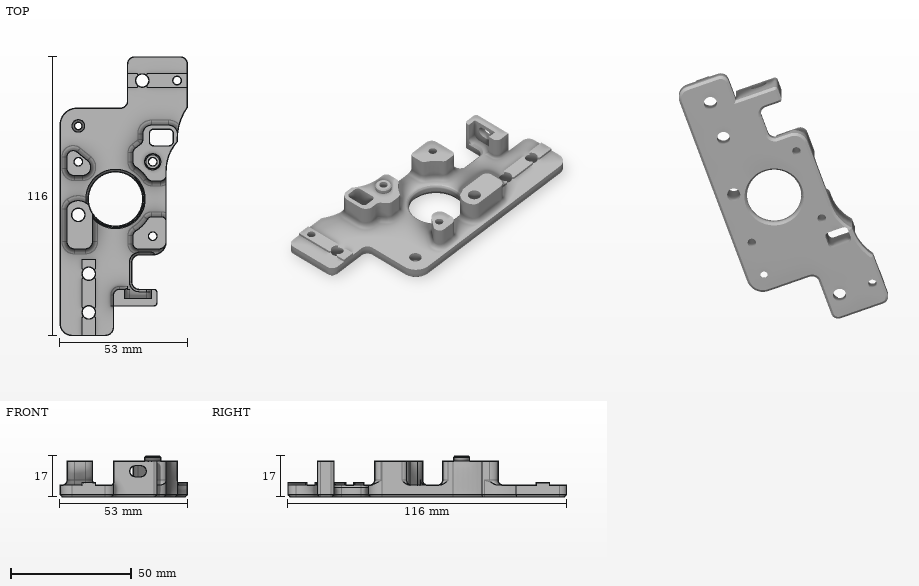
import cadquery as cq
PLATE_THICKNESS = 5.0
BOSS_TOP = 15.0
PIN_TOP = 17.0
PAD_HEIGHT = 1.0
BOTTOM_CHAMFER = 1.0
TOP_CHAMFER = 1.0

LENGTH = 116
WIDTH = 53.0
TAIL_WIDTH = 22.3
SHOULDER_Y = 94.7
EAR_X = 28.1
EAR_SIDE_BOTTOM_Y = 95.0
LOBE_X = 48.8
LOBE_TOP_Y = 81.9
LOBE_BOTTOM_Y = 80.7
BODY_X = 44.2
BODY_SIDE_TOP_Y = 68.7
BODY_BOTTOM_Y = 33.5
NECK_X = 29.9
NECK_CHAMFER_END_X = 38.5
ARM_X = 40.4
ARM_BOTTOM_Y = 12.3
ARM_TOP_Y = 19.3

SHOULDER_RADIUS = 7.0
TAIL_LEFT_RADIUS = 5.0
TAIL_RIGHT_RADIUS = 3.5
BODY_CORNER_RADIUS = 5.7
INNER_RADIUS = 3.0
EAR_RADIUS = 3.0
LOBE_RADIUS = 3.6
ARM_TIP_RADIUS = 1.3

BORE_X = 23.1
BORE_Y = 56.8
BORE_DIAMETER = 22.6
BORE_FLARE_HEIGHT = 1.9
BORE_LIP_WIDTH = 0.6
BORE_LIP_DEPTH = 1.4
BORE_RIM_WIDTH = 0.5
BORE_RIM_DEPTH = 0.2
SCREW_PITCH = 31.0
SCREW_DIAMETER = 3.5
LEFT_HOLE_X = BORE_X - SCREW_PITCH / 2
RIGHT_HOLE_X = BORE_X + SCREW_PITCH / 2
UPPER_HOLE_Y = BORE_Y + SCREW_PITCH / 2
LOWER_HOLE_Y = BORE_Y - SCREW_PITCH / 2

BOSS_LEFT_X = 2.9
RIGHT_BOSS_LEFT_X = 30.4
BOSS_BOTTOM_Y = 36.1
BOSS_RADIUS = 3.0
PIN_BOSS_BOTTOM_Y = 64.4
PIN_BOSS_TOP_Y = 87.6
PIN_BOSS_STEP_X = 34.5
PIN_BOSS_RADIUS = 2.3
CORNER_BOSS_TOP_Y = 49.4
CORNER_BOSS_RADIUS = 2.0
SMALL_BOSS_BOTTOM_Y = 66.6
CLEARANCE_DIAMETER = 31.5
LONG_BOSS_HOLE_Y = 50.2
LONG_BOSS_HEAD_RADIUS = 5.9
FOOT_RADIUS = 2.1
PIN_DIAMETER = 6.7
PIN_CHAMFER = 0.5

BRACKET_CORNER_RADIUS = 2.4
BRACKET_FOOT_RADIUS = 1.2
POCKET_LEFT_X = 26.9
POCKET_RIGHT_X = 38.0
POCKET_BACK_Y = 15.4
SLOT_X = (POCKET_LEFT_X + POCKET_RIGHT_X) / 2
SLOT_Z = 10.8
SLOT_LENGTH = 6.8
SLOT_HEIGHT = 4.6

LARGE_HOLE_DIAMETER = 5.5
PAD_WIDTH = 5.7
NOTCH_HALF_WIDTH = 2.2
NOTCH_DEPTH = 2.2
EAR_PAD_Y = 106.1
EAR_LARGE_HOLE_X = 34.2
EAR_SMALL_HOLE_X = 48.7
TAIL_PAD_X = 12.0
TAIL_PAD_TOP_Y = 31.7
TAIL_HOLES_Y = (25.8, 9.6)
COUNTERBORE_Y = 87.2
COUNTERBORE_DIAMETER = 5.2
COUNTERBORE_HOLE_DIAMETER = 3.0
COUNTERBORE_FLOOR = 1.0

WINDOW_LEFT_X = 37.2
WINDOW_RIGHT_X = 47.1
WINDOW_BOTTOM_Y = 79.0
WINDOW_TOP_Y = 85.8
WINDOW_RADIUS = 1.7

OVERLAP = 1.2


def box(x0, x1, y0, y1, z0, z1):
    """Box between two opposite corners."""
    return cq.Workplane("XY").box(x1 - x0, y1 - y0, z1 - z0, centered=False).translate((x0, y0, z0))


def cylinder(x, y, diameter, z0, z1):
    """Vertical cylinder between two heights."""
    return cq.Workplane("XY", origin=(x, y, z0)).circle(diameter / 2).extrude(z1 - z0)


def round_upright(body, x, y, radius):
    """Round the upright edge that stands nearest to (x, y)."""
    middle_z = body.val().BoundingBox().center.z
    return body.edges(cq.selectors.NearestToPointSelector((x, y, middle_z))).fillet(radius)


def prism(corners, z0, z1):
    """Upright prism; each corner is (x, y, rounding radius), 0 for a sharp corner."""
    points = [(x, y) for x, y, _ in corners]
    body = cq.Workplane("XY", origin=(0, 0, z0)).polyline(points).close().extrude(z1 - z0)
    for x, y, radius in corners:
        if radius:
            body = round_upright(body, x, y, radius)
    return body


def outline(height):
    """Prism of the whole plate outline, including the bracket arm."""
    body = (
        cq.Workplane("XY")
        .moveTo(0, 0)
        .lineTo(TAIL_WIDTH, 0)
        .lineTo(TAIL_WIDTH, ARM_BOTTOM_Y)
        .lineTo(ARM_X, ARM_BOTTOM_Y)
        .lineTo(ARM_X, ARM_TOP_Y)
        .lineTo(NECK_X, ARM_TOP_Y)
        .lineTo(NECK_X, BODY_BOTTOM_Y)
        .lineTo(BODY_X, BODY_BOTTOM_Y)
        .lineTo(BODY_X, BODY_SIDE_TOP_Y)
        .tangentArcPoint((LOBE_X, LOBE_BOTTOM_Y), relative=False)
        .lineTo(LOBE_X, LOBE_TOP_Y)
        .tangentArcPoint((WIDTH, EAR_SIDE_BOTTOM_Y), relative=False)
        .lineTo(WIDTH, LENGTH)
        .lineTo(EAR_X, LENGTH)
        .lineTo(EAR_X, SHOULDER_Y)
        .lineTo(0, SHOULDER_Y)
        .close()
        .extrude(height)
    )
    rounded_corners = (
        (0, 0, TAIL_LEFT_RADIUS),
        (0, SHOULDER_Y, SHOULDER_RADIUS),
        (EAR_X, SHOULDER_Y, INNER_RADIUS),
        (EAR_X, LENGTH, EAR_RADIUS),
        (WIDTH, LENGTH, EAR_RADIUS),
        (BODY_X, BODY_BOTTOM_Y, BODY_CORNER_RADIUS),
        (NECK_X, BODY_BOTTOM_Y, INNER_RADIUS),
        (NECK_X, ARM_TOP_Y, INNER_RADIUS),
        (ARM_X, ARM_TOP_Y, ARM_TIP_RADIUS),
        (ARM_X, ARM_BOTTOM_Y, ARM_TIP_RADIUS),
        (TAIL_WIDTH, 0, TAIL_RIGHT_RADIUS),
    )
    for x, y, radius in rounded_corners:
        body = round_upright(body, x, y, radius)
    return body


def plate():
    """Base plate with its chamfered underside."""
    return outline(PLATE_THICKNESS).faces("<Z").chamfer(BOTTOM_CHAMFER)


def neck_chamfer():
    """Flaring cutter that chamfers the top edge around the neck, up into the toe of the boss foot."""
    lead = 0.6
    rise = 0.3
    length = NECK_CHAMFER_END_X - NECK_X
    width = BODY_BOTTOM_Y - ARM_TOP_Y
    start = (NECK_X + length / 2, ARM_TOP_Y + width / 2, PLATE_THICKNESS - TOP_CHAMFER - lead)
    sketch = cq.Sketch().rect(length - 2 * lead, width - 2 * lead).vertices("<X").fillet(INNER_RADIUS - lead)
    return cq.Workplane("XY", origin=start).placeSketch(sketch).extrude(lead + TOP_CHAMFER + rise, taper=-45)


def with_foot(body, radius):
    """Add the concave fillet that spreads from an upright body onto the plate top."""
    margin = 23.2
    slab = box(-margin, WIDTH + margin, -margin, LENGTH + margin, PLATE_THICKNESS - OVERLAP, PLATE_THICKNESS)
    foot_edges = cq.selectors.BoxSelector(
        (-margin / 2, -margin / 2, PLATE_THICKNESS - 0.1),
        (WIDTH + margin / 2, LENGTH + margin / 2, PLATE_THICKNESS + 0.1),
    )
    return slab.union(body).edges(foot_edges).fillet(radius).cut(slab)


def long_boss(z0):
    """Lower left boss with a head rounded about its hole."""
    right_x = LEFT_HOLE_X + LONG_BOSS_HEAD_RADIUS
    head_offset_x = BOSS_LEFT_X - LEFT_HOLE_X
    head_left_y = LONG_BOSS_HOLE_Y + (LONG_BOSS_HEAD_RADIUS**2 - head_offset_x**2) ** 0.5
    body = (
        cq.Workplane("XY", origin=(0, 0, z0))
        .moveTo(BOSS_LEFT_X, BOSS_BOTTOM_Y)
        .lineTo(right_x, BOSS_BOTTOM_Y)
        .lineTo(right_x, LONG_BOSS_HOLE_Y)
        .threePointArc((LEFT_HOLE_X, LONG_BOSS_HOLE_Y + LONG_BOSS_HEAD_RADIUS), (BOSS_LEFT_X, head_left_y))
        .close()
        .extrude(BOSS_TOP - z0)
    )
    for x, y in ((BOSS_LEFT_X, BOSS_BOTTOM_Y), (right_x, BOSS_BOTTOM_Y), (BOSS_LEFT_X, head_left_y)):
        body = round_upright(body, x, y, BOSS_RADIUS)
    return body


def small_boss(z0):
    """Upper left boss with three rounded corners."""
    corners = (
        (BOSS_LEFT_X, SMALL_BOSS_BOTTOM_Y, BOSS_RADIUS),
        (19.0, SMALL_BOSS_BOTTOM_Y, 3.5),
        (BOSS_LEFT_X, 79.8, 2.5),
    )
    return prism(corners, z0, BOSS_TOP)


def clear_bore(boss, facing_y, radius):
    """Hollow the boss corner that faces the bore, where its sides are RIGHT_BOSS_LEFT_X and facing_y."""
    reach = CLEARANCE_DIAMETER / 2
    direction = 1 if facing_y > BORE_Y else -1
    side_y = BORE_Y + direction * (reach**2 - (RIGHT_BOSS_LEFT_X - BORE_X) ** 2) ** 0.5
    facing_x = BORE_X + (reach**2 - (facing_y - BORE_Y) ** 2) ** 0.5
    boss = boss.cut(cylinder(BORE_X, BORE_Y, CLEARANCE_DIAMETER, 0, BOSS_TOP))
    boss = round_upright(boss, RIGHT_BOSS_LEFT_X, side_y, radius)
    return round_upright(boss, facing_x, facing_y, radius)


def pin_boss(z0):
    """Upper right boss that carries the locating pin; its right side follows the plate edge."""
    corners = (
        (PIN_BOSS_STEP_X, PIN_BOSS_TOP_Y, LOBE_RADIUS),
        (LOBE_X, PIN_BOSS_TOP_Y, LOBE_RADIUS),
        (LOBE_X, LOBE_BOTTOM_Y, 0),
        (BODY_X, BODY_SIDE_TOP_Y, 0),
        (BODY_X, PIN_BOSS_BOTTOM_Y, PIN_BOSS_RADIUS),
        (RIGHT_BOSS_LEFT_X, PIN_BOSS_BOTTOM_Y, 0),
        (RIGHT_BOSS_LEFT_X, 77.3, PIN_BOSS_RADIUS),
        (PIN_BOSS_STEP_X, 80.4, PIN_BOSS_RADIUS),
    )
    return clear_bore(prism(corners, z0, BOSS_TOP), PIN_BOSS_BOTTOM_Y, PIN_BOSS_RADIUS)


def corner_boss(z0):
    """Lower right boss with a hollowed corner facing the bore."""
    corners = (
        (RIGHT_BOSS_LEFT_X, BOSS_BOTTOM_Y, CORNER_BOSS_RADIUS),
        (BODY_X, BOSS_BOTTOM_Y, BOSS_RADIUS),
        (BODY_X, CORNER_BOSS_TOP_Y, CORNER_BOSS_RADIUS),
        (RIGHT_BOSS_LEFT_X, CORNER_BOSS_TOP_Y, 0),
    )
    return clear_bore(prism(corners, z0, BOSS_TOP), CORNER_BOSS_TOP_Y, CORNER_BOSS_RADIUS)


def pin():
    """Locating pin on the upper right boss."""
    return cylinder(RIGHT_HOLE_X, UPPER_HOLE_Y, PIN_DIAMETER, BOSS_TOP, PIN_TOP).faces(">Z").chamfer(PIN_CHAMFER)


def bracket():
    """Slotted wall on the arm, with a post at each end and a pocket between them."""
    base_z = PLATE_THICKNESS - TOP_CHAMFER
    corners = (
        (TAIL_WIDTH, ARM_BOTTOM_Y, 0),
        (ARM_X, ARM_BOTTOM_Y, 0),
        (ARM_X, ARM_TOP_Y, 0),
        (TAIL_WIDTH, ARM_TOP_Y, BRACKET_CORNER_RADIUS),
    )
    wall = prism(corners, base_z, BOSS_TOP)
    foot = with_foot(prism(corners, PLATE_THICKNESS, BOSS_TOP), BRACKET_FOOT_RADIUS)
    foot = foot.intersect(box(0, TAIL_WIDTH + 5.8, ARM_BOTTOM_Y, LENGTH, 0, BOSS_TOP))
    far_y = ARM_TOP_Y + 5.8
    pocket = box(POCKET_LEFT_X, POCKET_RIGHT_X, POCKET_BACK_Y, far_y, PLATE_THICKNESS, BOSS_TOP + OVERLAP)
    pocket = pocket.faces("<Z").edges("|Y").fillet(FOOT_RADIUS)
    edge_relief = box(POCKET_LEFT_X, POCKET_RIGHT_X, ARM_TOP_Y - TOP_CHAMFER, far_y, base_z, PLATE_THICKNESS)
    slot = (
        cq.Workplane("XZ", origin=(SLOT_X, ARM_TOP_Y, SLOT_Z))
        .slot2D(SLOT_LENGTH, SLOT_HEIGHT)
        .extrude(ARM_TOP_Y - ARM_BOTTOM_Y + OVERLAP)
    )
    return wall.union(foot).cut(pocket).cut(edge_relief).cut(slot)


def bore_cutter():
    """Central bore, flared below and rounded above up to a shallow cone around its rim."""
    radius = BORE_DIAMETER / 2
    lip_radius = radius + BORE_LIP_WIDTH
    rim_bottom_z = PLATE_THICKNESS - BORE_RIM_DEPTH
    return (
        cq.Workplane("XZ", origin=(BORE_X, BORE_Y, 0))
        .moveTo(0, 0)
        .lineTo(radius + BOTTOM_CHAMFER, 0)
        .lineTo(radius, BORE_FLARE_HEIGHT)
        .lineTo(radius, PLATE_THICKNESS - BORE_LIP_DEPTH)
        .tangentArcPoint((lip_radius, rim_bottom_z), relative=False)
        .lineTo(lip_radius + BORE_RIM_WIDTH, PLATE_THICKNESS)
        .lineTo(lip_radius + BORE_RIM_WIDTH, BOSS_TOP)
        .lineTo(0, BOSS_TOP)
        .close()
        .revolve(360, (0, 0), (0, 1))
    )


def notched(pad, x, y, direction):
    """Cut a V notch into both sides of a pad, at the hole centre (x, y)."""
    half_width = PAD_WIDTH / 2
    notch = (
        cq.Workplane("XY", origin=(0, 0, PLATE_THICKNESS))
        .polyline([
            (-NOTCH_HALF_WIDTH, half_width),
            (0, half_width - NOTCH_DEPTH),
            (NOTCH_HALF_WIDTH, half_width),
        ])
        .close()
        .extrude(PAD_HEIGHT)
    )
    for turn in (direction, direction + 180):
        pad = pad.cut(notch.rotate((0, 0, 0), (0, 0, 1), turn).translate((x, y, 0)))
    return pad


def pads():
    """Raised seating strips across the ear and along the tail."""
    half_width = PAD_WIDTH / 2
    top = PLATE_THICKNESS + PAD_HEIGHT
    ear_pad = box(EAR_X, WIDTH, EAR_PAD_Y - half_width, EAR_PAD_Y + half_width, PLATE_THICKNESS, top)
    ear_pad = notched(ear_pad, EAR_LARGE_HOLE_X, EAR_PAD_Y, 0)
    tail_pad = box(TAIL_PAD_X - half_width, TAIL_PAD_X + half_width, 0, TAIL_PAD_TOP_Y, PLATE_THICKNESS, top)
    for y in TAIL_HOLES_Y:
        tail_pad = notched(tail_pad, TAIL_PAD_X, y, 90)
    return ear_pad.union(tail_pad)


def holes():
    """All vertical through holes, and the counterbored one near the shoulder."""
    places = [
        (LEFT_HOLE_X, UPPER_HOLE_Y, SCREW_DIAMETER),
        (RIGHT_HOLE_X, UPPER_HOLE_Y, SCREW_DIAMETER),
        (RIGHT_HOLE_X, LOWER_HOLE_Y, SCREW_DIAMETER),
        (EAR_SMALL_HOLE_X, EAR_PAD_Y, SCREW_DIAMETER),
        (EAR_LARGE_HOLE_X, EAR_PAD_Y, LARGE_HOLE_DIAMETER),
        (LEFT_HOLE_X, LONG_BOSS_HOLE_Y, LARGE_HOLE_DIAMETER),
        (LEFT_HOLE_X, COUNTERBORE_Y, COUNTERBORE_HOLE_DIAMETER),
    ]
    places += [(TAIL_PAD_X, y, LARGE_HOLE_DIAMETER) for y in TAIL_HOLES_Y]
    cutter = cylinder(LEFT_HOLE_X, COUNTERBORE_Y, COUNTERBORE_DIAMETER, COUNTERBORE_FLOOR, BOSS_TOP)
    for x, y, diameter in places:
        cutter = cutter.union(cylinder(x, y, diameter, -OVERLAP, PIN_TOP + OVERLAP))
    return cutter


def window():
    """Rounded rectangular opening through the pin boss."""
    opening = box(WINDOW_LEFT_X, WINDOW_RIGHT_X, WINDOW_BOTTOM_Y, WINDOW_TOP_Y, -OVERLAP, PIN_TOP)
    return opening.edges("|Z").fillet(WINDOW_RADIUS)


bosses = (long_boss, small_boss, pin_boss, corner_boss)
result = plate()
for boss in bosses:
    result = result.union(with_foot(boss(PLATE_THICKNESS), FOOT_RADIUS))
result = result.cut(bore_cutter()).cut(neck_chamfer())
for boss in bosses:
    result = result.union(boss(PLATE_THICKNESS - BORE_LIP_DEPTH))
result = result.cut(cylinder(BORE_X, BORE_Y, BORE_DIAMETER, -OVERLAP, BOSS_TOP))
result = result.union(pads()).union(bracket()).intersect(outline(PIN_TOP))
result = result.union(pin()).cut(holes()).cut(window())